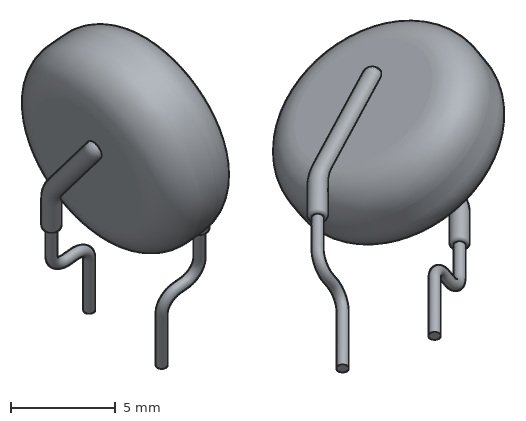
import cadquery as cq
import math

disc_diameter = 11.5
disc_thickness = 5.0
disc_edge_radius = 2.0
disc_radius = disc_diameter / 2

sleeve_diameter = 1.0
sleeve_radius = sleeve_diameter / 2
sleeve_overhang = 0.5
sleeve_end_fillet = 0.2
sleeve_upright_length = 2.0
sleeve_bend_radius = 2.0
sleeve_bend_angle = 30.0
sleeve_slant_length = 5.4

lead_pitch = 5.0
lead_diameter = 0.6
lead_bend_radius = 1.0
lead_bend_angle = 90.0
lead_upper_length = 2.0
lead_lower_length = 3.6

lead_x = -lead_pitch / 2
face_y = -disc_thickness / 2
sleeve_bottom_z = -disc_radius - sleeve_overhang
pair_turns = (0, 180)


def bend_offset(radius, degrees):
    """Sideways and forward travel along an arc that turns by the given angle."""
    angle = math.radians(degrees)
    return radius * (1 - math.cos(angle)), radius * math.sin(angle)


def make_disc_blank():
    rear_face = cq.Workplane("XZ", origin=(0, disc_thickness / 2, 0))
    cylinder = rear_face.circle(disc_radius).extrude(disc_thickness)
    return cylinder.edges().fillet(disc_edge_radius)


def make_sleeve():
    """Front sleeve: upright, bend and slanted run ending in a round tip."""
    bend_start_z = sleeve_bottom_z + sleeve_upright_length
    mid_dx, mid_dz = bend_offset(sleeve_bend_radius, sleeve_bend_angle / 2)
    end_dx, end_dz = bend_offset(sleeve_bend_radius, sleeve_bend_angle)
    slant = math.radians(sleeve_bend_angle)
    bend_end_x = lead_x + end_dx
    bend_end_z = bend_start_z + end_dz
    tip_x = bend_end_x + sleeve_slant_length * math.sin(slant)
    tip_z = bend_end_z + sleeve_slant_length * math.cos(slant)

    path = (
        cq.Workplane("XZ", origin=(0, face_y, 0))
        .moveTo(lead_x, sleeve_bottom_z)
        .lineTo(lead_x, bend_start_z)
        .threePointArc((lead_x + mid_dx, bend_start_z + mid_dz), (bend_end_x, bend_end_z))
        .lineTo(tip_x, tip_z)
    )
    tube = cq.Workplane("XY", origin=(lead_x, face_y, sleeve_bottom_z)).circle(sleeve_radius).sweep(path)
    tube = tube.faces("<Z").edges().fillet(sleeve_end_fillet)
    slant_direction = (math.sin(slant), 0, math.cos(slant))
    tip_plane = cq.Plane(origin=(tip_x, face_y, tip_z), xDir=(0, 1, 0), normal=slant_direction)
    tip = cq.Workplane(tip_plane).sphere(sleeve_radius)
    return tube.union(tip)


def make_lead():
    """Front lead: hangs from the sleeve end and steps back to the mid-plane."""
    upper_bend_z = sleeve_bottom_z - lead_upper_length
    step_z = upper_bend_z - lead_bend_radius
    lower_bend_z = step_z - lead_bend_radius
    bottom_z = lower_bend_z - lead_lower_length
    mid_side, mid_forward = bend_offset(lead_bend_radius, lead_bend_angle / 2)

    path = (
        cq.Workplane("YZ", origin=(lead_x, 0, 0))
        .moveTo(face_y, sleeve_bottom_z)
        .lineTo(face_y, upper_bend_z)
        .threePointArc((face_y + mid_side, upper_bend_z - mid_forward), (face_y + lead_bend_radius, step_z))
        .lineTo(-lead_bend_radius, step_z)
        .threePointArc((-mid_side, lower_bend_z + mid_forward), (0, lower_bend_z))
        .lineTo(0, bottom_z)
    )
    return cq.Workplane("XY", origin=(lead_x, face_y, sleeve_bottom_z)).circle(lead_diameter / 2).sweep(path)


def place_pair(body):
    """Front copy and rear copy of a body, turned about Z."""
    return [body.rotate((0, 0, 0), (0, 0, 1), turn) for turn in pair_turns]


sleeves = place_pair(make_sleeve())
leads = place_pair(make_lead())

disc = make_disc_blank()
for sleeve in sleeves:
    disc = disc.cut(sleeve)

bodies = [disc, *sleeves, *leads]
result = cq.Compound.makeCompound([body.solids().val() for body in bodies])